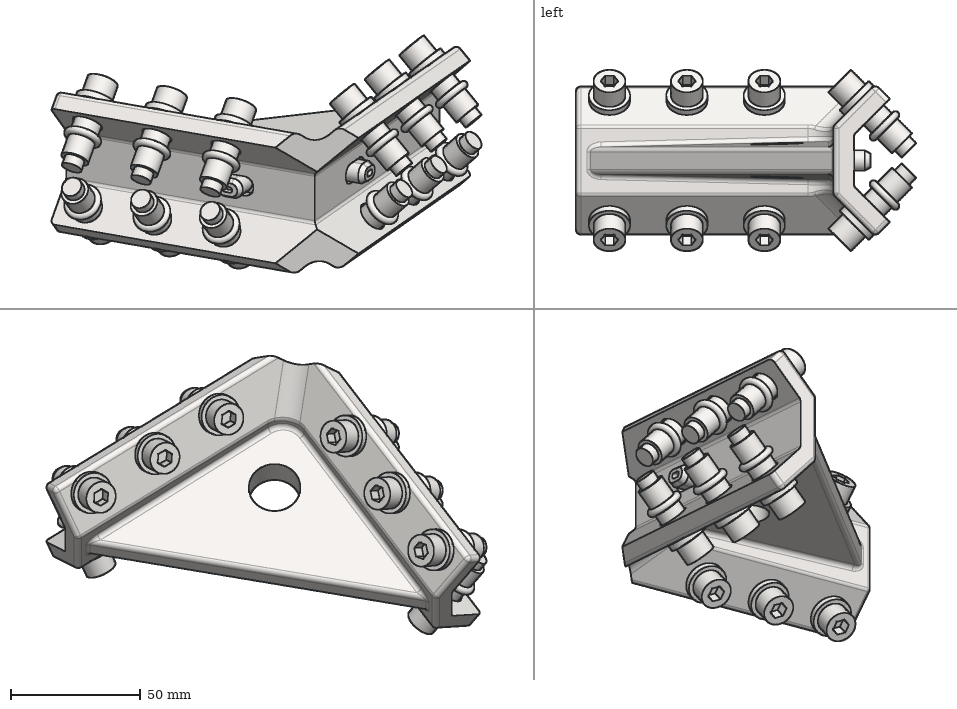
import cadquery as cq
import math

ROOT2 = math.sqrt(2)
BISECTOR_NORMAL = (1, 1, 0)
TOLERANCE = 0.01

leg_length = 121.72
wall = 8.0
web_depth = 13.9
web_half_height = 10.0
edge_radius = 2.0
mitre_radius = 10.0
corner_cut = 24.0

web_inner = web_depth + wall
inner_bend_z = web_half_height + wall * math.tan(math.pi / 8)
flange_tip_z = web_half_height + web_depth
flange_edge_y = wall / ROOT2
flange_edge_z = flange_tip_z + wall / ROOT2

gusset_end_gap = 5.0
gusset_half_edge = 5.25
gusset_draft = 2.0
gusset_embed = wall / 2
gusset_fillet = 2.0
gusset_hole_diameter = 20.0
gusset_hole_offset = 43.8

screw_pitch = 30.0
screw_positions = [48.65 + screw_pitch * i for i in range(3)]
screw_rise = 8.0
washer_radius = 8.0
washer_thickness = 2.65
head_radius = 6.2
head_height = 8.0
socket_flats = 5.8
socket_depth = 5.0
thread_radius = 4.0
thread_length = 30.0
sleeve_radius = 5.5
sleeve_length = 26.2
ring_distance = 16.6
ring_radius = 7.5
ring_section_radius = 1.5
flange_hole_radius = 6.0

tongue_length = 11.2
tongue_width = 8.0
tongue_height = 6.4
tongue_taper_height = 2.3
tongue_taper_inset = 1.3
socket_slot_length = 4.2
socket_slot_width = 2.3
socket_slot_depth = 3.0
relief_length = 16.2
relief_depth = 4.0

BIG = 3 * leg_length


def on_y_leg(feature):
    """The same feature of the X leg, carried over to the Y leg."""
    return feature.mirror(BISECTOR_NORMAL)


def half_space_prism(points):
    return cq.Workplane("XY").workplane(offset=-BIG / 2).polyline(points).close().extrude(BIG)


def make_corner(section):
    """An X leg of the given (y, z) section, mitred and joined to its mirror image on the Y leg."""
    leg = cq.Workplane("YZ").polyline(section).close().extrude(-leg_length)
    leg = leg.intersect(half_space_prism([(BIG, -BIG), (-BIG, BIG), (-BIG, -BIG)]))
    return leg.union(on_y_leg(leg))


def make_valley_corner(section, inner_line_end):
    """Corner whose inner mitre edge, ending at the given section point, is rounded."""
    far = corner_cut + BIG
    corner = make_corner(section)
    corner = corner.cut(half_space_prism([(-far, -BIG), (BIG, far), (BIG, -BIG)]))
    y, z = inner_line_end
    edge_end = cq.Vector(-y, y, z)
    valley = [
        e for e in corner.edges().vals()
        if abs(e.Center().x + e.Center().y) < TOLERANCE
        and e.Center().y > corner_cut / 2 + TOLERANCE
        and min((e.startPoint() - edge_end).Length, (e.endPoint() - edge_end).Length) < TOLERANCE
    ]
    return corner.newObject(valley).fillet(mitre_radius)


def is_rounded_edge(edge):
    """Straight edges along the inner side of each leg and round its free end."""
    mid = edge.Center()
    height = abs(mid.z)
    across = min(-mid.x, mid.y)
    along = max(-mid.x, mid.y)
    if along > leg_length - TOLERANCE:
        return across > web_inner - TOLERANCE or height + across > flange_tip_z + edge_radius
    at_inner_bend = abs(across - web_inner) < TOLERANCE and abs(height - inner_bend_z) < TOLERANCE
    at_flange_edge = abs(across - flange_edge_y) < TOLERANCE and height > flange_edge_z - TOLERANCE
    return edge.geomType() == "LINE" and (at_inner_bend or at_flange_edge)


def is_outer_bend(edge):
    mid = edge.Center()
    across = min(-mid.x, mid.y)
    return abs(across - web_depth) < TOLERANCE and abs(abs(mid.z) - web_half_height) < TOLERANCE


def make_frame():
    top = flange_edge_z
    web = make_valley_corner(
        [(web_inner, top), (0, top), (0, -top), (web_inner, -top)], (web_inner, top)
    )
    reach = web_inner + wall
    flange_end = (reach, flange_edge_y + flange_edge_z - reach)
    flange = make_valley_corner(
        [flange_end, (flange_edge_y, top), (0, flange_tip_z), (0, -top), (reach, -top)], flange_end
    )
    channel = make_corner([
        (0, flange_tip_z),
        (web_depth, web_half_height),
        (web_depth, -web_half_height),
        (0, -flange_tip_z),
    ])
    frame = web.intersect(flange).intersect(flange.mirror("XY")).cut(channel)
    frame = cq.Workplane(frame.solids().val())
    for selected in (is_rounded_edge, is_outer_bend):
        frame = frame.newObject([e for e in frame.edges().vals() if selected(e)]).fillet(edge_radius)
    return frame


def make_gusset():
    hypotenuse_end_x = -leg_length + gusset_end_gap
    middle = (hypotenuse_end_x - web_inner) / 2
    depth = -middle * ROOT2
    far_half = gusset_half_edge + depth * math.tan(math.radians(gusset_draft))
    section = [
        (0, gusset_half_edge),
        (depth, far_half),
        (depth, -far_half),
        (0, -gusset_half_edge),
    ]
    across = cq.Plane(origin=(middle, -middle, 0), xDir=(1, -1, 0), normal=(1, 1, 0))
    gusset = cq.Workplane(across).polyline(section).close().extrude(leg_length, both=True)

    def on_hypotenuse(edge):
        mid = edge.Center()
        return abs(mid.y - mid.x + 2 * middle) < TOLERANCE and abs(mid.x - middle) < wall

    gusset = gusset.newObject([e for e in gusset.edges().vals() if on_hypotenuse(e)]).fillet(gusset_fillet)
    sunk = web_inner - gusset_embed
    return gusset.intersect(half_space_prism([(-sunk, sunk), (-BIG, sunk), (-BIG, BIG), (-sunk, BIG)]))


def is_gusset_root(edge):
    """Edges where the gusset meets the inner sides of the webs."""
    axis = web_inner + mitre_radius

    def on_web(point):
        x, y = -point.x, point.y
        if abs(point.z) > inner_bend_z - edge_radius:
            return False
        if abs(min(x, y) - web_inner) < TOLERANCE and max(x, y) > axis - TOLERANCE:
            return True
        return abs(math.hypot(x - axis, y - axis) - mitre_radius) < TOLERANCE and max(x, y) < axis

    return all(on_web(edge.positionAt(t)) for t in (0, 0.5, 1))


def add_gusset(frame):
    body = frame.union(make_gusset())
    body = body.newObject([e for e in body.edges().vals() if is_gusset_root(e)]).fillet(gusset_fillet)
    hole = (
        cq.Workplane("XY").workplane(offset=-flange_edge_z)
        .center(-gusset_hole_offset, gusset_hole_offset)
        .circle(gusset_hole_diameter / 2).extrude(2 * flange_edge_z)
    )
    return body.cut(hole)


def flange_plane(position):
    """Plane on the inner face of the upper X-leg flange at a screw, facing the screw head."""
    level = flange_tip_z / ROOT2 + wall
    origin = (-position, (level - screw_rise) / ROOT2, (level + screw_rise) / ROOT2)
    return cq.Plane(origin=origin, xDir=(1, 0, 0), normal=(0, 1, 1))


def make_screw(position, socket_turn):
    plane = flange_plane(position)
    head_base = washer_thickness
    head_top = head_base + head_height
    sleeve_end = head_base - sleeve_length
    ring_middle = head_base - ring_distance
    ring_inset = sleeve_radius - (ring_radius - ring_section_radius)
    ring_half_width = math.sqrt(ring_section_radius**2 - ring_inset**2)
    above_ring = [
        (0, head_top),
        (head_radius, head_top),
        (head_radius, head_base),
        (washer_radius, head_base),
        (washer_radius, 0),
        (sleeve_radius, 0),
        (sleeve_radius, ring_middle + ring_half_width),
    ]
    below_ring = [
        (sleeve_radius, sleeve_end),
        (thread_radius, sleeve_end),
        (thread_radius, head_base - thread_length),
        (0, head_base - thread_length),
    ]
    side = cq.Workplane(cq.Plane(plane.origin, xDir=plane.xDir, normal=-plane.yDir))
    profile = (
        side.polyline(above_ring)
        .threePointArc((ring_radius, ring_middle), (sleeve_radius, ring_middle - ring_half_width))
    )
    for corner in below_ring:
        profile = profile.lineTo(*corner)
    screw = profile.close().revolve(360, (0, 0), (0, 1))
    socket = (
        cq.Workplane(plane).workplane(offset=head_top - socket_depth)
        .transformed(rotate=(0, 0, socket_turn))
        .polygon(6, socket_flats / math.cos(math.pi / 6)).extrude(socket_depth)
    )
    return screw.cut(socket)


def make_flange_hole(position):
    return cq.Workplane(flange_plane(position)).circle(flange_hole_radius).extrude(-wall)


def add_screws(body):
    for position in screw_positions:
        for turn, placed in ((90, lambda part: part), (0, on_y_leg)):
            hole = placed(make_flange_hole(position))
            screw = placed(make_screw(position, turn))
            body = body.cut(hole).cut(hole.mirror("XY"))
            body = body.union(screw).union(screw.mirror("XY"))
    return body


def make_tongue():
    plane = cq.Plane(origin=(-screw_positions[0], web_depth, 0), xDir=(1, 0, 0), normal=(0, -1, 0))
    tip = cq.Workplane(plane).workplane(offset=tongue_height)
    shank_height = tongue_height - tongue_taper_height + relief_depth
    tongue = (
        cq.Workplane(plane).workplane(offset=-relief_depth)
        .slot2D(tongue_length, tongue_width).extrude(shank_height)
    )
    taper_angle = math.degrees(math.atan(tongue_taper_inset / tongue_taper_height))
    taper = (
        tongue.faces("<Y").workplane()
        .slot2D(tongue_length, tongue_width).extrude(tongue_taper_height, taper=taper_angle, combine=False)
    )
    socket = tip.slot2D(socket_slot_length, socket_slot_width).extrude(-socket_slot_depth)
    return tongue.union(taper).cut(socket)


def make_relief():
    plane = cq.Plane(origin=(-screw_positions[0], web_depth, 0), xDir=(1, 0, 0), normal=(0, -1, 0))
    return cq.Workplane(plane).slot2D(relief_length, tongue_width).extrude(-relief_depth)


def add_tongues(body):
    tongue = make_tongue()
    relief = make_relief()
    body = body.cut(relief).cut(on_y_leg(relief))
    return body.union(tongue).union(on_y_leg(tongue))


result = add_screws(add_tongues(add_gusset(make_frame())))